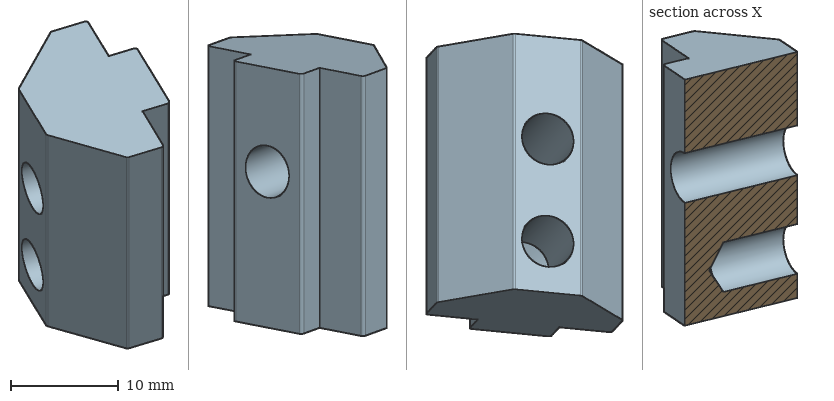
import cadquery as cq
import math

length = 25.0
body_width = 18.0
total_depth = 12.2

tongue_width = 7.9
tongue_height = 2.8
side_height = 3.68
edge_radius = 0.3

hole_diameter = 5.0
through_hole_z = 15.0
blind_hole_z = 5.0
blind_hole_depth = 8.0
drill_point_angle = 118.0

shoulder_y = total_depth - tongue_height
bevel_top_y = shoulder_y - side_height
face_half_width = body_width / 2 - bevel_top_y


def make_body():
    right_half = [
        (face_half_width, 0),
        (body_width / 2, bevel_top_y),
        (body_width / 2, shoulder_y),
        (tongue_width / 2, shoulder_y),
        (tongue_width / 2, total_depth),
    ]
    left_half = [(-x, y) for x, y in reversed(right_half)]
    body = cq.Workplane("XY").polyline(right_half + left_half).close().extrude(length)

    inner_corners = [
        cq.selectors.NearestToPointSelector((side * tongue_width / 2, shoulder_y, length / 2))
        for side in (-1, 1)
    ]
    outer_edges = body.edges("|Z").edges(-(inner_corners[0] + inner_corners[1]))
    return outer_edges.fillet(edge_radius)


def make_through_hole():
    return (
        cq.Workplane("XZ")
        .center(0, through_hole_z)
        .circle(hole_diameter / 2)
        .extrude(-total_depth)
    )


def make_blind_hole():
    radius = hole_diameter / 2
    point_length = radius / math.tan(math.radians(drill_point_angle / 2))
    return (
        cq.Workplane("XY")
        .polyline([(0, 0), (radius, 0), (radius, blind_hole_depth), (0, blind_hole_depth + point_length)])
        .close()
        .revolve(360, (0, 0), (0, 1))
        .translate((0, 0, blind_hole_z))
    )


result = make_body().cut(make_through_hole()).cut(make_blind_hole())